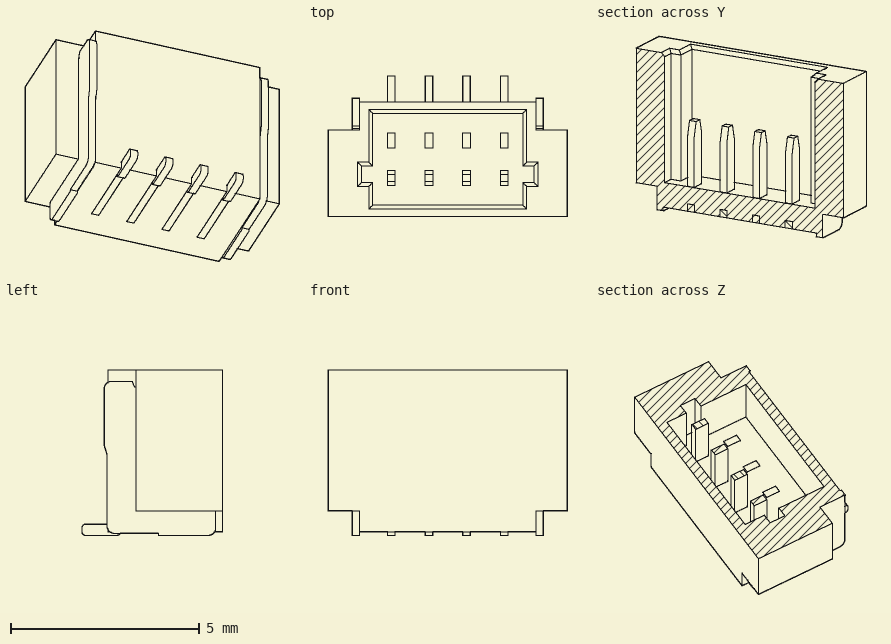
import cadquery as cq


width = 6.35
height = 4.4
body_width = 4.675
body_depth = 3.05
body_bottom = 0.1
wing_depth = 2.305
wing_bottom = 0.655

pocket_width = 3.99
pocket_depth = 2.44
front_wall = 0.305
pocket_floor = 0.8
key_span = 4.585
key_width = 0.445
key_middle = 1.125
lead_in = 0.1

plate_thickness = 0.205
plate_front = 0.185
plate_back = 3.075
plate_top = 4.095
plate_bottom = 0.06
plate_corner = 0.205
bulge = 0.075
bulge_bottom = 2.145
bulge_slope_height = 0.255
notch_start = 2.4
notch_end = 2.34
notch_height = 0.15
foot_back = 1.71
foot_edge = 0.025

contact_count = 4
row_length = 3.0
contact_pitch = row_length / (contact_count - 1)
contact_thickness = 0.205
tail_end = 3.74
tail_height = 0.305
tail_inner_end = 2.71
tail_round = body_bottom
post_thickness = 0.4
post_front = 0.825
post_top = 2.605
tip_inset = 0.1
tip_height = 0.405
leg_front = 1.815


def block(x_size, y_start, y_end, z_start, z_end):
    """Box centred on X, between the given Y and Z limits."""
    return (
        cq.Workplane("XY")
        .box(x_size, y_end - y_start, z_end - z_start, centered=(True, False, False))
        .translate((0, y_start, z_start))
    )


def side_plate(profile, thickness, x_middle):
    """Extrude a closed YZ profile to a plate whose middle is at x_middle."""
    return profile.extrude(thickness / 2, both=True).translate((x_middle, 0, 0))


def make_pocket():
    """Pocket with its two key slots, widened by a 45 degree lead-in at the top."""
    pocket_height = height - pocket_floor
    pocket = cq.Workplane("XY")
    for x_size, y_size, y_middle in (
        (pocket_width, pocket_depth, front_wall + pocket_depth / 2),
        (key_span, key_width, key_middle),
    ):
        shaft = (
            cq.Workplane("XY", origin=(0, y_middle, pocket_floor))
            .rect(x_size, y_size)
            .extrude(pocket_height)
        )
        mouth = (
            cq.Workplane("XY", origin=(0, y_middle, height - lead_in))
            .rect(x_size, y_size)
            .workplane(offset=lead_in)
            .rect(x_size + 2 * lead_in, y_size + 2 * lead_in)
            .loft()
        )
        pocket = pocket.add(shaft.union(mouth))
    return pocket.combine()


def make_hold_down(x_middle):
    """L-shaped plate under and behind a wing, with a solder foot and a bulge at the back."""
    back = plate_back + bulge
    slope_top = bulge_bottom + bulge_slope_height
    outline = (
        cq.Workplane("YZ")
        .moveTo(plate_front, wing_bottom)
        .lineTo(plate_front, plate_corner)
        .radiusArc((plate_front + plate_corner, 0), -plate_corner)
        .lineTo(foot_back - foot_edge, 0)
        .radiusArc((foot_back, foot_edge), -foot_edge)
        .lineTo(foot_back, plate_bottom)
        .lineTo(plate_back - plate_corner, plate_bottom)
        .radiusArc((plate_back, plate_bottom + plate_corner), -plate_corner)
        .lineTo(plate_back, bulge_bottom)
        .lineTo(back, slope_top)
        .lineTo(back, plate_top - plate_corner)
        .radiusArc((back - plate_corner, plate_top), -plate_corner)
        .lineTo(notch_start, plate_top)
        .lineTo(notch_end, plate_top - notch_height)
        .lineTo(wing_depth, plate_top - notch_height)
        .lineTo(wing_depth, wing_bottom)
        .close()
    )
    return side_plate(outline, plate_thickness, x_middle)


def make_contact(x_middle):
    """Contact with a soldering tail, a retention leg ending at the floor and a tapered post."""
    post_back = post_front + post_thickness
    leg_back = leg_front + post_thickness
    tip_start = post_top - tip_height
    outline = (
        cq.Workplane("YZ")
        .moveTo(post_front, body_bottom)
        .lineTo(tail_inner_end, body_bottom)
        .radiusArc((tail_inner_end + tail_round, 0), -tail_round)
        .lineTo(tail_end - tail_round, 0)
        .radiusArc((tail_end, tail_round), -tail_round)
        .lineTo(tail_end, tail_height - tail_round)
        .radiusArc((tail_end - tail_round, tail_height), -tail_round)
        .lineTo(leg_back, tail_height)
        .lineTo(leg_back, pocket_floor)
        .lineTo(leg_front, pocket_floor)
        .lineTo(leg_front, tail_height)
        .lineTo(post_back, tail_height)
        .lineTo(post_back, tip_start)
        .lineTo(post_back - tip_inset, post_top)
        .lineTo(post_front + tip_inset, post_top)
        .lineTo(post_front, tip_start)
        .close()
    )
    return side_plate(outline, contact_thickness, x_middle)


def make_housing(contacts):
    """Shell with the pocket, the hold-downs and a passage fitting each contact."""
    body = block(body_width, 0, body_depth, body_bottom, height)
    wings = block(width, 0, wing_depth, wing_bottom, height)
    shell = body.union(wings).cut(make_pocket())
    plate_middle = (body_width + plate_thickness) / 2
    for side in (-1, 1):
        shell = shell.union(make_hold_down(side * plate_middle))
    for contact in contacts:
        shell = shell.cut(contact)
    return shell


contacts = [
    make_contact(index * contact_pitch - row_length / 2)
    for index in range(contact_count)
]
housing = make_housing(contacts)

result = cq.Compound.makeCompound(
    [housing.val(), *[contact.val() for contact in contacts]]
)